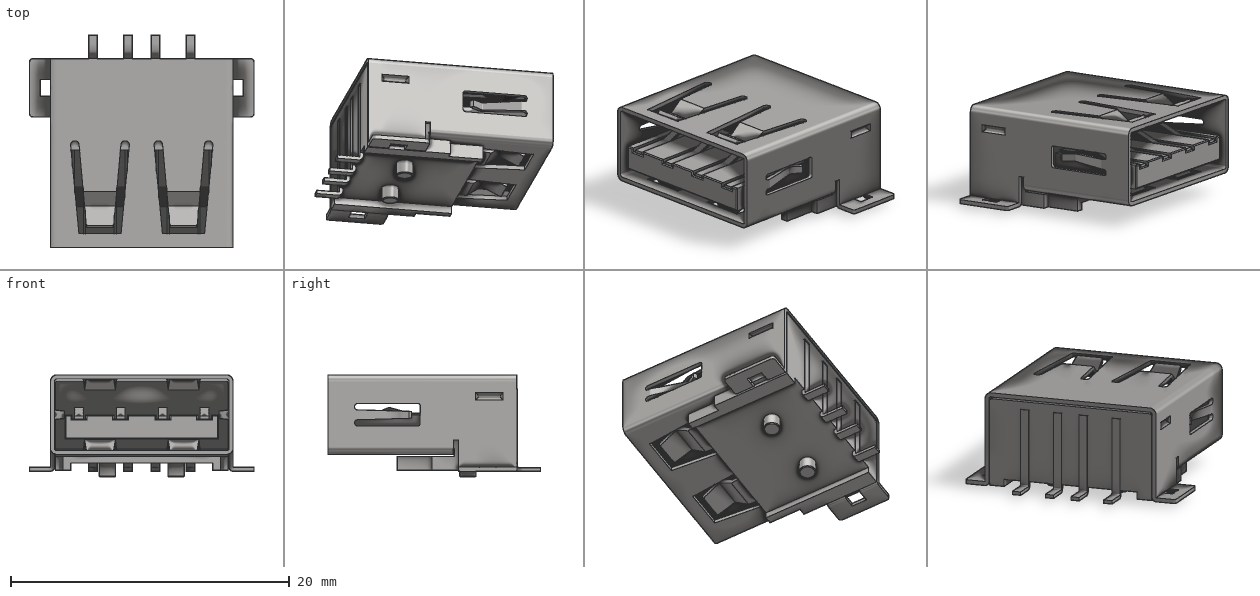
import cadquery as cq
import math


SHELL_WIDTH = 13.1
SHELL_LENGTH = 13.55
SHELL_BOTTOM = 1.19
SHELL_TOP = 6.92
SHEET = 0.3
SHELL_RADIUS = 0.48
HALF_WIDTH = SHELL_WIDTH / 2
INNER_HALF_WIDTH = HALF_WIDTH - SHEET
SHELL_MID_Z = (SHELL_BOTTOM + SHELL_TOP) / 2
TUBE_END = 9.0
LEG_START = 9.37
RELIEF_TOP = 2.24

FLANGE_SPAN = 16.1
FLANGE_CORNER = 0.23
WINDOW_REACH = 7.26
WINDOW_START = 10.87
WINDOW_END = 12.06

DENT_START = 10.6
DENT_END = 12.55
DENT_BOTTOM = 5.12
DENT_HEIGHT = 0.52
DENT_DEPTH = 0.25
DENT_ROUNDING = 0.24

SPRING_X = 3.0
SPRING_ROOT = 7.35
SPRING_ROOT_HALF = 1.5
SPRING_TIP = 1.58
SPRING_TIP_HALF = 0.95
SPRING_TIP_CORNER = 0.15
SPRING_BEND = 4.04
SPRING_VALLEY = 2.98
SPRING_DIP = 0.72
SLOT_WIDTH = 0.61
SLOT_FRONT = 1.01
SLOT_FRONT_HALF = 1.51

SIDE_ROOT = 2.32
SIDE_ROOT_HEIGHT = 0.71
SIDE_CREST = 5.05
SIDE_TIP = 5.83
SIDE_TIP_HEIGHT = 0.48
SIDE_CREST_DEPTH = 0.72
SIDE_TIP_DEPTH = 0.2
SIDE_CREST_RADIUS = 0.13
SIDE_ROOT_RADIUS = 0.4
SIDE_SLOT_FRONT = 1.92
SIDE_SLOT_BACK = 6.62
SIDE_SLOT_HEIGHT = 1.61
SIDE_SLOT_CORNER = 0.2
SIDE_SLOT_WIDTH = (SIDE_SLOT_HEIGHT - SIDE_ROOT_HEIGHT) / 2
SIDE_SLOT_END = SIDE_SLOT_FRONT + SIDE_SLOT_WIDTH / 2

HOUSING_HALF_WIDTH = 6.2
HOUSING_FRONT = 6.99
HOUSING_TOP = 6.49
HOUSING_BOTTOM = 1.61
HOUSING_TOP_CORNER = 0.1
REAR_START = 9.05
BASE_FRONT = 4.96
BASE_SHOULDER = 7.47
BASE_FRONT_HALF = 5.65
BASE_BOTTOM = 0.6
BASE_TOP = 1.08
FOOT_INNER = 5.09
FOOT_BOTTOM = 0.06

TONGUE_FRONT = 0.0
TONGUE_HALF_WIDTH = 5.5
TONGUE_BOTTOM = 2.3
TONGUE_TOP = 4.05
TONGUE_CHAMFER = 0.08
GROOVE_WIDTH = 0.98
GROOVE_FLOOR = 3.77

PEG_X = 2.46
PEG_Y = 10.03
PEG_DIAMETER = 1.19
PEG_BOTTOM = -0.4
PEG_CHAMFER = 0.06

CONTACT_XS = [-4.5, -1.51, 1.51, 4.5]
CONTACT_WIDTH = 0.63
CONTACT_THICKNESS = 0.2
CONTACT_FRONT = TONGUE_FRONT + TONGUE_CHAMFER
CONTACT_FRONT_BEND = 2.93
CONTACT_CREST = 4.38
CONTACT_CREST_TOP = 4.59
CONTACT_REAR_BEND = 5.91
CONTACT_REAR_TOP = 4.17
CONTACT_END = 9.66
CONTACT_BEND_RADIUS = 0.4
CONTACT_CREST_RADIUS = 0.13

TAIL_XS = [-3.5, -0.98, 0.98, 3.5]
TAIL_WIDTH = 0.63
TAIL_THICKNESS = 0.25
TAIL_END = 15.25
TAIL_LEG_BACK = 13.6
TAIL_LEG_TOP = 5.91
TAIL_BEND_RADIUS = 0.08


def box(x0, x1, y0, y1, z0, z1):
    """Block between two opposite corners."""
    return cq.Workplane("XY").box(x1 - x0, y1 - y0, z1 - z0, centered=False).translate((x0, y0, z0))


def along_y(start):
    """Workplane for outlines in X and Z; a negative extrusion runs toward +Y."""
    return cq.Workplane("XZ", origin=(0, start, 0))


def both_sides(shape):
    """The shape together with its mirror image across the X = 0 plane."""
    return shape.union(shape.mirror("YZ"))


def strip_outline(path, thickness):
    """Closed outline of a bent strip: the path and its mitred copy on the path's left side."""
    directions = [math.atan2(b[1] - a[1], b[0] - a[0]) for a, b in zip(path, path[1:])]
    before = [directions[0]] + directions
    after = directions + [directions[-1]]
    offset = []
    for (u, v), d0, d1 in zip(path, before, after):
        miter = thickness / math.cos((d1 - d0) / 2)
        normal = (d0 + d1) / 2 + math.pi / 2
        offset.append((u + miter * math.cos(normal), v + miter * math.sin(normal)))
    return path + offset[::-1]


def round_edge(shape, point, radius):
    """The shape with the edge nearest the point rounded."""
    return shape.edges(cq.selectors.NearestToPointSelector(point)).fillet(radius)


def strip(plane, path, thickness, width, path_radii=None, other_radii=None):
    """Strip bent along a path in the plane and extruded by its width.

    The radii map a path point's index to the rounding there, on the path's face and on the other face.
    """
    outline = strip_outline(path, thickness)
    bent = cq.Workplane(plane).polyline(outline).close().extrude(width)
    corners = [(i, radius) for i, radius in (path_radii or {}).items()]
    corners += [(len(outline) - 1 - i, radius) for i, radius in (other_radii or {}).items()]
    for index, radius in corners:
        u, v = outline[index]
        bent = round_edge(bent, plane.toWorldCoords((u, v, width / 2)).toTuple(), radius)
    return bent


def lengthwise_plane(x):
    """Plane for outlines in Y and Z at the given x."""
    return cq.Plane.named("YZ", (x, 0, 0))



def make_tube():
    """Closed front part of the shell."""
    middle = (0, SHELL_MID_Z)
    height = SHELL_TOP - SHELL_BOTTOM
    outer = along_y(0).center(*middle).rect(SHELL_WIDTH, height).extrude(-TUBE_END)
    inner = along_y(0).center(*middle).rect(2 * INNER_HALF_WIDTH, height - 2 * SHEET).extrude(-TUBE_END)
    outer = outer.edges("|Y").fillet(SHELL_RADIUS)
    inner = inner.edges("|Y").fillet(SHELL_RADIUS - SHEET)
    return outer.cut(inner)


def make_hood():
    """Rear part of the shell: top, two legs and the flanges bent outward."""
    length = SHELL_LENGTH - TUBE_END
    outer = box(-HALF_WIDTH, HALF_WIDTH, TUBE_END, SHELL_LENGTH, 0, SHELL_TOP)
    outer = outer.edges("|Y and >Z").fillet(SHELL_RADIUS)
    inner = box(-INNER_HALF_WIDTH, INNER_HALF_WIDTH, TUBE_END, SHELL_LENGTH, 0, SHELL_TOP - SHEET)
    inner = inner.edges("|Y and >Z").fillet(SHELL_RADIUS - SHEET)
    flange = box(-FLANGE_SPAN / 2, -INNER_HALF_WIDTH, LEG_START, SHELL_LENGTH, 0, SHEET)
    flange = flange.edges("|Z and <X").fillet(FLANGE_CORNER)
    bend = (
        along_y(TUBE_END)
        .moveTo(-INNER_HALF_WIDTH, 0)
        .lineTo(-INNER_HALF_WIDTH, SHEET)
        .radiusArc((-HALF_WIDTH, 0), SHEET)
        .close()
        .extrude(-length)
    )
    window = box(-WINDOW_REACH, -INNER_HALF_WIDTH, WINDOW_START, WINDOW_END, 0, SHEET)
    relief = box(-HALF_WIDTH, -INNER_HALF_WIDTH, TUBE_END, LEG_START, 0, RELIEF_TOP)
    hood = outer.cut(inner).union(both_sides(flange))
    return hood.cut(both_sides(bend)).cut(both_sides(window)).cut(both_sides(relief))


def make_dent():
    """Round-bottomed dent pressed into the left side wall."""
    dent = box(
        -HALF_WIDTH, -HALF_WIDTH + DENT_DEPTH, DENT_START, DENT_END, DENT_BOTTOM, DENT_BOTTOM + DENT_HEIGHT
    )
    return dent.faces(">X").edges().fillet(DENT_ROUNDING)


def make_top_window(x):
    """Opening cut around a top spring: a trapezoid that ends in two round slots."""
    wall = SHELL_TOP - SHEET
    slot_edge = SPRING_ROOT_HALF + SLOT_WIDTH
    plane = cq.Workplane("XY", origin=(x, 0, wall))
    outline = [
        (-slot_edge, SPRING_ROOT),
        (-SLOT_FRONT_HALF, SLOT_FRONT),
        (SLOT_FRONT_HALF, SLOT_FRONT),
        (slot_edge, SPRING_ROOT),
    ]
    window = plane.polyline(outline).close().extrude(SHEET)
    slot_centre = SPRING_ROOT_HALF + SLOT_WIDTH / 2
    ends = [(-slot_centre, SPRING_ROOT), (slot_centre, SPRING_ROOT)]
    return window.union(plane.pushPoints(ends).circle(SLOT_WIDTH / 2).extrude(SHEET))


def make_top_spring(x):
    """Tapered spring that dips into the shell and rises again to its tip."""
    path = [
        (SPRING_ROOT, SHELL_TOP),
        (SPRING_BEND, SHELL_TOP),
        (SPRING_VALLEY, SHELL_TOP - SPRING_DIP),
        (SPRING_TIP, SHELL_TOP),
    ]
    bent = strip(lengthwise_plane(x - SPRING_ROOT_HALF), path, SHEET, 2 * SPRING_ROOT_HALF)
    front = SPRING_TIP - SHEET
    plan = (
        cq.Workplane("XY", origin=(x, 0, 0))
        .polyline([
            (-SPRING_ROOT_HALF, SPRING_ROOT),
            (-SPRING_TIP_HALF, front),
            (SPRING_TIP_HALF, front),
            (SPRING_ROOT_HALF, SPRING_ROOT),
        ])
        .close()
        .extrude(SHELL_TOP)
    )
    spring = bent.intersect(plan)
    for side in (-1, 1):
        corner = (x + side * SPRING_TIP_HALF, SPRING_TIP, SHELL_TOP - SHEET / 2)
        spring = round_edge(spring, corner, SPRING_TIP_CORNER)
    return spring


def make_side_window():
    """Opening cut around the left side spring, with two round slot ends at the front."""
    half = SIDE_SLOT_HEIGHT / 2
    window = box(
        -HALF_WIDTH, -INNER_HALF_WIDTH, SIDE_SLOT_END, SIDE_SLOT_BACK, SHELL_MID_Z - half, SHELL_MID_Z + half
    )
    window = window.edges("|X and >Y").fillet(SIDE_SLOT_CORNER)
    slot_centre = half - SIDE_SLOT_WIDTH / 2
    ends = (
        cq.Workplane("YZ", origin=(-HALF_WIDTH, SIDE_SLOT_END, SHELL_MID_Z))
        .pushPoints([(0, -slot_centre), (0, slot_centre)])
        .circle(SIDE_SLOT_WIDTH / 2)
        .extrude(SHEET)
    )
    return window.union(ends)


def make_side_spring():
    """Tapered spring of the left wall, bent inward to a crest and back out at its tip."""
    path = [
        (-HALF_WIDTH + SIDE_TIP_DEPTH, SIDE_TIP),
        (-HALF_WIDTH + SIDE_CREST_DEPTH, SIDE_CREST),
        (-HALF_WIDTH, SIDE_ROOT),
        (-HALF_WIDTH, SIDE_SLOT_END),
    ]
    crest, root_bend = 1, 2
    bent = strip(
        cq.Plane.named("XY"), path, SHEET, SHELL_TOP,
        path_radii={crest: SIDE_CREST_RADIUS, root_bend: SIDE_ROOT_RADIUS},
        other_radii={crest: SIDE_CREST_RADIUS + SHEET, root_bend: SIDE_ROOT_RADIUS - SHEET},
    )
    root, tip = SIDE_ROOT_HEIGHT / 2, SIDE_TIP_HEIGHT / 2
    back = SIDE_TIP + SHEET
    plan = (
        cq.Workplane("YZ", origin=(-HALF_WIDTH, 0, SHELL_MID_Z))
        .polyline([
            (SIDE_SLOT_END, -root), (SIDE_ROOT, -root), (back, -tip),
            (back, tip), (SIDE_ROOT, root), (SIDE_SLOT_END, root),
        ])
        .close()
        .extrude(HALF_WIDTH)
    )
    return bent.intersect(plan)


def with_bottom_copy(shape):
    """The shape and its mirror image across the middle height of the shell tube."""
    return shape.union(shape.mirror("XY", (0, 0, SHELL_MID_Z)))


def make_shell():
    shell = make_tube().union(make_hood())
    shell = shell.cut(both_sides(make_dent()))
    shell = shell.cut(with_bottom_copy(both_sides(make_top_window(-SPRING_X))))
    shell = shell.cut(both_sides(make_side_window()))
    shell = shell.union(with_bottom_copy(both_sides(make_top_spring(-SPRING_X))))
    return shell.union(both_sides(make_side_spring()))



def make_tongue():
    """Tongue with one contact groove per contact and a chamfered front."""
    tongue = box(
        -TONGUE_HALF_WIDTH, TONGUE_HALF_WIDTH, TONGUE_FRONT, HOUSING_FRONT, TONGUE_BOTTOM, TONGUE_TOP
    )
    for x in CONTACT_XS:
        tongue = tongue.cut(box(
            x - GROOVE_WIDTH / 2, x + GROOVE_WIDTH / 2, TONGUE_FRONT, HOUSING_FRONT, GROOVE_FLOOR, TONGUE_TOP
        ))
    return tongue.faces("<Y").edges().chamfer(TONGUE_CHAMFER)


def make_housing():
    w = HOUSING_HALF_WIDTH
    f = BASE_FRONT_HALF
    block = box(-w, w, HOUSING_FRONT, REAR_START, HOUSING_BOTTOM, HOUSING_TOP)
    block = block.union(box(-w, w, REAR_START, SHELL_LENGTH, BASE_BOTTOM, HOUSING_TOP))
    block = block.edges("|Y and >Z").chamfer(HOUSING_TOP_CORNER)
    base = box(-w, w, BASE_SHOULDER, REAR_START, BASE_BOTTOM, BASE_TOP)
    base = base.union(box(-f, f, BASE_FRONT, BASE_SHOULDER, BASE_BOTTOM, BASE_TOP))
    foot = box(-w, -FOOT_INNER, BASE_SHOULDER, SHELL_LENGTH, FOOT_BOTTOM, BASE_BOTTOM)
    foot = foot.union(box(-f, -FOOT_INNER, BASE_FRONT, BASE_SHOULDER, FOOT_BOTTOM, BASE_BOTTOM))
    pegs = (
        cq.Workplane("XY", origin=(0, PEG_Y, BASE_BOTTOM))
        .pushPoints([(-PEG_X, 0), (PEG_X, 0)])
        .circle(PEG_DIAMETER / 2)
        .extrude(PEG_BOTTOM - BASE_BOTTOM)
        .faces("<Z").edges().chamfer(PEG_CHAMFER)
    )
    housing = block.union(base).union(both_sides(foot)).union(pegs)
    return housing.union(make_tongue())



def make_contact(x):
    """Contact strip lying in its groove, arched above the tongue and held in the housing."""
    front_top = GROOVE_FLOOR + CONTACT_THICKNESS
    path = [
        (CONTACT_END, CONTACT_REAR_TOP),
        (CONTACT_REAR_BEND, CONTACT_REAR_TOP),
        (CONTACT_CREST, CONTACT_CREST_TOP),
        (CONTACT_FRONT_BEND, front_top),
        (CONTACT_FRONT, front_top),
    ]
    rear_bend, crest, front_bend = 1, 2, 3
    top_radius = CONTACT_BEND_RADIUS
    bottom_radius = CONTACT_BEND_RADIUS + CONTACT_THICKNESS
    return strip(
        lengthwise_plane(x - CONTACT_WIDTH / 2), path, CONTACT_THICKNESS, CONTACT_WIDTH,
        path_radii={rear_bend: top_radius, crest: CONTACT_CREST_RADIUS, front_bend: top_radius},
        other_radii={rear_bend: bottom_radius, front_bend: bottom_radius},
    )


def make_tail(x):
    """Solder tail: a foot behind the housing bent up into a leg let into its back."""
    path = [
        (TAIL_LEG_BACK - TAIL_THICKNESS, TAIL_LEG_TOP),
        (TAIL_LEG_BACK - TAIL_THICKNESS, 0),
        (TAIL_END, 0),
    ]
    bend = 1
    return strip(
        lengthwise_plane(x - TAIL_WIDTH / 2), path, TAIL_THICKNESS, TAIL_WIDTH,
        path_radii={bend: TAIL_BEND_RADIUS + TAIL_THICKNESS},
        other_radii={bend: TAIL_BEND_RADIUS},
    )


shell = make_shell()
contacts = [make_contact(x) for x in CONTACT_XS]
tails = [make_tail(x) for x in TAIL_XS]
housing = make_housing()
for inserted in contacts + tails:
    housing = housing.cut(inserted)

result = cq.Compound.makeCompound(
    [body.solids().val() for body in [shell, housing, *contacts, *tails]]
)